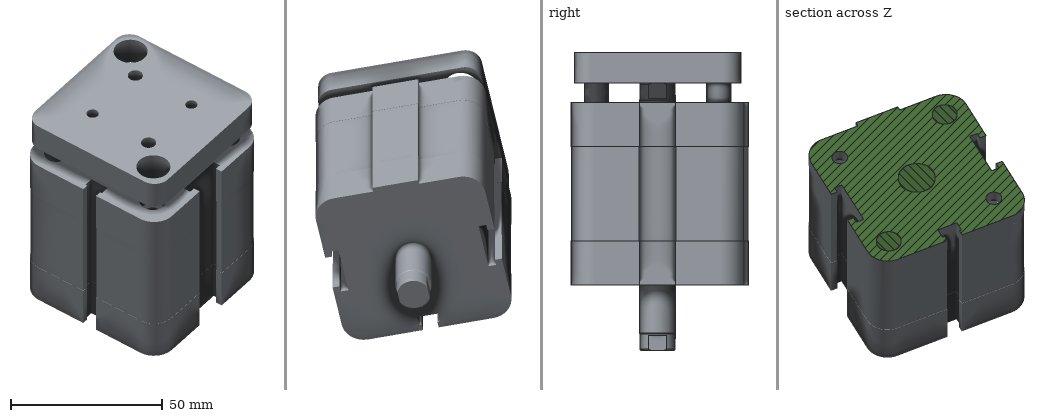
import cadquery as cq

total_height = 98.5
plate_thickness = 10.1
rod_length = total_height - plate_thickness
housing_bottom = 21.7
cap_height = 14.5
barrel_height = 31.3
housing_height = 2 * cap_height + barrel_height
housing_top = housing_bottom + housing_height

housing_width = 57.0
housing_corner_radius = 7.5
rib_width = 15.6
rib_height = 1.5
rib_corner_radius = 0.3

barrel_inset = 0.07

side_slot = dict(opening=12.0, inner=16.2, lip=2.4, depth=4.9)
front_slot = dict(opening=5.3, inner=6.8, lip=2.2, depth=5.4)

screw_offset = 19.0
screw_bore_diameter = 9.0
screw_bore_depth = 5.3
screw_hole_diameter = 5.0
screw_hole_depth = cap_height

rod_diameter = 12.0
rod_end_diameter = 11.7
rod_end_length = 5.5
rod_step_length = 0.3
rod_end_chamfer = 0.5
flat_length = 5.0
flat_spacing = 10.0

plate_width = 55.0
plate_corner_radius = 5.5
guide_diameter = 8.0
guide_offset = 20.2
guide_depth = cap_height
access_hole_diameter = 11.2
access_hole_offset = 20.0
mount_hole_offset = 11.6
wide_mount_hole_diameter = 5.0
narrow_mount_hole_diameter = 4.0

screw_diagonal = [(-1, 1), (1, -1)]
guide_diagonal = [(-1, -1), (1, 1)]


def on_diagonal(signs, offset):
    """Points at the given X and Y distance from the axis."""
    return [(sx * offset, sy * offset) for sx, sy in signs]


def cylinders(points, diameter, bottom, top):
    """Upright cylinders of one diameter, centred on the given points."""
    base = cq.Workplane("XY").workplane(offset=bottom)
    return base.pushPoints(points).circle(diameter / 2).extrude(top - bottom)


def t_slot(opening, inner, lip, depth):
    """Full-height T-slot cutter, open on the -Y side of the housing."""
    face = -housing_width / 2
    outline = [
        (-opening / 2, face),
        (-opening / 2, face + lip),
        (-inner / 2, face + lip),
        (-inner / 2, face + depth),
        (inner / 2, face + depth),
        (inner / 2, face + lip),
        (opening / 2, face + lip),
        (opening / 2, face),
    ]
    base = cq.Workplane("XY").workplane(offset=housing_bottom)
    return base.polyline(outline).close().extrude(housing_height)


def piston_rod():
    """Turned rod with reduced, chamfered ends, each with two wrench flats facing X."""
    radius = rod_diameter / 2
    end_radius = rod_end_diameter / 2
    profile = [
        (0, 0),
        (end_radius - rod_end_chamfer, 0),
        (end_radius, rod_end_chamfer),
        (end_radius, rod_end_length),
        (radius, rod_end_length + rod_step_length),
        (radius, rod_length - rod_end_length - rod_step_length),
        (end_radius, rod_length - rod_end_length),
        (end_radius, rod_length - rod_end_chamfer),
        (end_radius - rod_end_chamfer, rod_length),
        (0, rod_length),
    ]
    rod = cq.Workplane("XZ").polyline(profile).close().revolve(360, (0, 0, 0), (0, 1, 0))
    for bottom in (0, rod_length - flat_length):
        base = cq.Workplane("XY").workplane(offset=bottom)
        flat_zone = base.rect(flat_spacing, 2 * rod_diameter).extrude(flat_length)
        all_round = base.rect(2 * rod_diameter, 2 * rod_diameter).extrude(flat_length)
        rod = rod.cut(all_round.cut(flat_zone))
    return rod


def yoke_plate():
    """Rounded square plate with access holes and mounting holes through it."""
    base = cq.Workplane("XY").workplane(offset=rod_length)
    plate = base.rect(plate_width, plate_width).extrude(plate_thickness)
    plate = plate.edges("|Z").fillet(plate_corner_radius)
    holes = [
        (screw_diagonal, access_hole_offset, access_hole_diameter),
        (screw_diagonal, mount_hole_offset, wide_mount_hole_diameter),
        (guide_diagonal, mount_hole_offset, narrow_mount_hole_diameter),
    ]
    for signs, offset, diameter in holes:
        plate = plate.cut(cylinders(on_diagonal(signs, offset), diameter, rod_length, total_height))
    return plate


def make_moving_unit():
    """Piston rod, yoke plate and guide rods, joined as one body."""
    guide_points = on_diagonal(guide_diagonal, guide_offset)
    guides = cylinders(guide_points, guide_diameter, housing_top - guide_depth, rod_length)
    return piston_rod().union(yoke_plate()).union(guides)


def housing_section(bottom, height):
    """Slice of the housing with its rib and T-slots but without bores."""
    base = cq.Workplane("XY").workplane(offset=bottom)
    section = base.rect(housing_width, housing_width).extrude(height)
    section = section.edges("|Z").fillet(housing_corner_radius)

    rib = base.center(0, housing_width / 2).rect(rib_width, 2 * rib_height).extrude(height)
    section = section.union(rib.edges("|Z and >Y").fillet(rib_corner_radius))

    section = section.cut(t_slot(**front_slot))
    for angle in (90, -90):
        section = section.cut(t_slot(**side_slot).rotate((0, 0, 0), (0, 0, 1), angle))
    return section


def make_housing():
    """Two end caps and a barrel that is stepped in slightly all the way round."""
    bottom_cap = housing_section(housing_bottom, cap_height)
    top_cap = housing_section(housing_top - cap_height, cap_height)
    barrel = (
        bottom_cap.faces(">Z")
        .wires()
        .toPending()
        .offset2D(-barrel_inset, "intersection")
        .extrude(barrel_height, combine=False)
    )
    housing = bottom_cap.union(barrel).union(top_cap)

    screw_points = on_diagonal(screw_diagonal, screw_offset)
    housing = housing.cut(
        cylinders(screw_points, screw_bore_diameter, housing_top - screw_bore_depth, housing_top)
    )
    housing = housing.cut(
        cylinders(screw_points, screw_hole_diameter, housing_top - screw_hole_depth, housing_top)
    )

    housing = housing.cut(cylinders([(0, 0)], rod_diameter, housing_bottom, housing_top))
    guide_points = on_diagonal(guide_diagonal, guide_offset)
    return housing.cut(cylinders(guide_points, guide_diameter, housing_top - guide_depth, housing_top))


housing = make_housing()
moving_unit = make_moving_unit()
result = cq.Compound.makeCompound([housing.solids().val(), moving_unit.solids().val()])